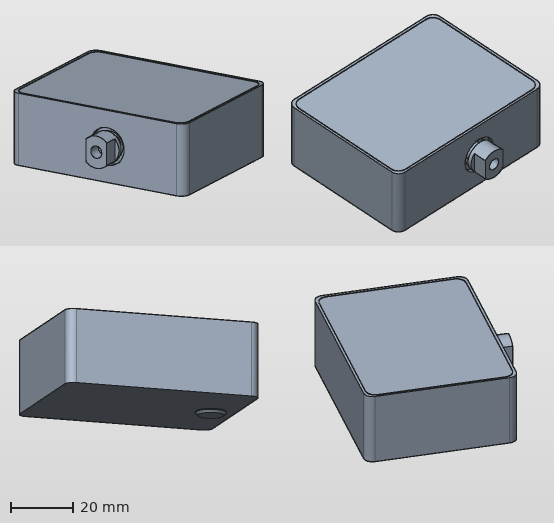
import cadquery as cq
box_length = 65.4
box_width = 50.9
box_height = 24.45
corner_radius = 3.0

rim_width = 1.0
recess_depth = 0.2
recess_corner_radius = 3.3

knob_x = 3.65
knob_z = box_height / 2
counterbore_diameter = 12.7
counterbore_depth = 1.8
bore_diameter = 9.55
bore_depth = 3.3
neck_diameter = 6.35
knob_diameter = 10.9
knob_gap = 0.4
knob_end = 6.8
flange_thickness = 1.45
flat_width = 7.85
knob_hole_diameter = 4.1
knob_hole_depth = 4.6

button_x = -24.45
button_height = 1.2
button_root_diameter = 9.9
button_rim_diameter = 10.2
button_end_diameter = 8.4
button_rim_drop = 0.3

front_y = -box_width / 2


def rounded_block(length, width, height, radius, base_z):
    """Block standing on base_z with rounded vertical edges."""
    block = cq.Workplane("XY").workplane(offset=base_z).rect(length, width).extrude(height)
    return block.edges("|Z").fillet(radius)


def knob_cylinder(diameter, start, end):
    """Cylinder on the knob axis; start and end are distances out of the front face."""
    plane = cq.Plane(origin=(knob_x, front_y - start, knob_z), xDir=(1, 0, 0), normal=(0, -1, 0))
    return cq.Workplane(plane).circle(diameter / 2).extrude(end - start)


def make_box():
    body = rounded_block(box_length, box_width, box_height, corner_radius, 0)
    recess = rounded_block(
        box_length - 2 * rim_width,
        box_width - 2 * rim_width,
        recess_depth,
        recess_corner_radius,
        box_height - recess_depth,
    )
    counterbore = knob_cylinder(counterbore_diameter, -counterbore_depth, 0)
    bore = knob_cylinder(bore_diameter, -bore_depth, 0)
    return body.cut(recess).cut(counterbore).cut(bore)


def make_knob():
    neck = knob_cylinder(neck_diameter, -bore_depth, knob_gap)
    flange_end = knob_gap + flange_thickness
    flange = knob_cylinder(knob_diameter, knob_gap, flange_end)
    flat_length = knob_end - flange_end
    flat_slab = cq.Workplane("XY").box(flat_width, flat_length, knob_diameter).translate(
        (knob_x, front_y - flange_end - flat_length / 2, knob_z)
    )
    grip = knob_cylinder(knob_diameter, flange_end, knob_end).intersect(flat_slab)
    hole = knob_cylinder(knob_hole_diameter, knob_end - knob_hole_depth, knob_end)
    return neck.union(flange).union(grip).cut(hole)


def make_button():
    profile = (
        cq.Workplane("XZ")
        .lineTo(button_root_diameter / 2, 0)
        .lineTo(button_rim_diameter / 2, -button_rim_drop)
        .lineTo(button_end_diameter / 2, -button_height)
        .lineTo(0, -button_height)
        .close()
    )
    return profile.revolve(360, (0, 0), (0, 1)).translate((button_x, 0, 0))


result = make_box().union(make_knob()).union(make_button())